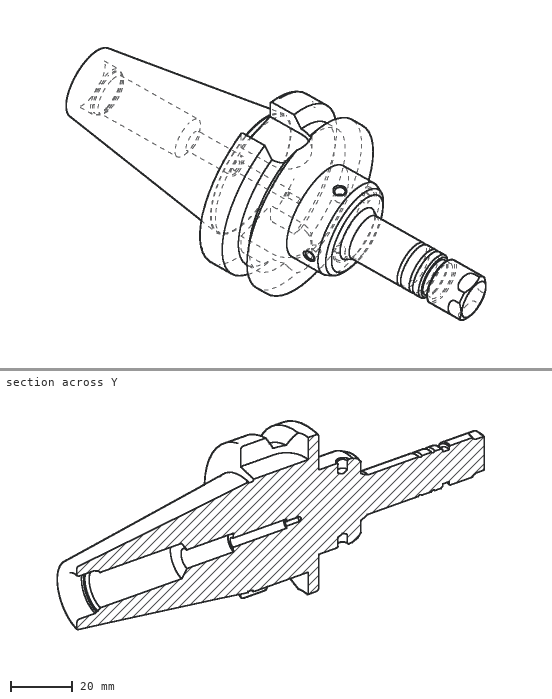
import cadquery as cq
import math


total_length = 155.4
gauge_x = 65.4
flange_start_x = gauge_x + 2.0
flange_end_x = gauge_x + 27.0
collar_end_x = flange_end_x + 16.0

gauge_radius = 44.45 / 2
taper_slope = 7 / 48
small_end_radius = gauge_radius - gauge_x * taper_slope
small_end_rounding = 0.8
relief_radius = 21.8
relief_fillet = 0.7

flange_radius = 63.0 / 2
flange_edge_break = 1.2
groove_center_x = gauge_x + 16.6
groove_radius = 53.0 / 2
groove_floor_width = 4.2
groove_flank_angle = 30.0

slot_width = 16.1
slot_floor = 22.6
slot_end_x = 88.1

collar_radius = 17.0
collar_bevel_start_x = 105.0
collar_bevel_middle_x = 107.3
collar_bevel_middle_radius = 15.9
collar_face_radius = 14.2
radial_hole_x = flange_end_x + 9.0
radial_hole_count = 4
radial_hole_diameter = 3.5
radial_hole_rim_diameter = 4.5
radial_hole_depth = 4.0
drill_point_angle = 118.0

nose_radius = 16.0 / 2
nose_root_radius = 9.5
nose_root_end_x = 111.0
ring_groove_starts = (130.3, 135.2)
ring_groove_width = 1.4
ring_groove_depth = 0.4
neck_radius = 13.0 / 2
neck_start_x = 139.6
neck_end_x = 142.0
neck_left_bevel = 0.7
neck_right_bevel = 0.4
tip_chamfer_length = 0.8
tip_chamfer_depth = 1.4

flat_count = 4
flat_distance = 6.85
flat_start_x = 152.7
flat_runout_radius = 2.0

pilot_radius = 17.0 / 2
bore_mouth_rounding = 1.1
pilot_depth = 7.0
thread_mouth_radius = 16.0 / 2
thread_mouth_depth = 8.0
thread_radius = 14.0 / 2
thread_depth = 40.0
deep_radius = 7.3 / 2
deep_floor_bevel = 0.4
deep_depth = 60.0
inner_radius = 3.5 / 2
inner_depth = 80.0
end_hole_radius = 1.7 / 2
end_hole_depth = 85.0


def point_length(radius):
    """Length of a drill point of the given radius."""
    return radius / math.tan(math.radians(drill_point_angle / 2))


def revolve_about_x(profile):
    return profile.close().revolve(360, (0, 0, 0), (1, 0, 0))


def make_taper():
    profile = (
        cq.Workplane("XY")
        .lineTo(0, small_end_radius)
        .lineTo(gauge_x, gauge_radius)
        .lineTo(gauge_x, relief_radius)
        .lineTo(flange_start_x - relief_fillet, relief_radius)
        .radiusArc((flange_start_x, relief_radius + relief_fillet), -relief_fillet)
        .lineTo(flange_start_x, 0)
    )
    return revolve_about_x(profile).faces("<X").edges().fillet(small_end_rounding)


def make_flange():
    flank_length = (flange_radius - groove_radius) * math.tan(math.radians(groove_flank_angle))
    floor_half = groove_floor_width / 2
    mouth_half = floor_half + flank_length
    profile = (
        cq.Workplane("XY")
        .moveTo(flange_start_x, 0)
        .lineTo(flange_start_x, flange_radius - flange_edge_break)
        .radiusArc((flange_start_x + flange_edge_break, flange_radius), flange_edge_break)
        .lineTo(groove_center_x - mouth_half, flange_radius)
        .lineTo(groove_center_x - floor_half, groove_radius)
        .lineTo(groove_center_x + floor_half, groove_radius)
        .lineTo(groove_center_x + mouth_half, flange_radius)
        .lineTo(flange_end_x - flange_edge_break, flange_radius)
        .radiusArc((flange_end_x, flange_radius - flange_edge_break), flange_edge_break)
        .lineTo(flange_end_x, 0)
    )
    return revolve_about_x(profile)


def make_collar():
    profile = (
        cq.Workplane("XY")
        .moveTo(flange_end_x, 0)
        .lineTo(flange_end_x, collar_radius)
        .lineTo(collar_bevel_start_x, collar_radius)
        .lineTo(collar_bevel_middle_x, collar_bevel_middle_radius)
        .lineTo(collar_end_x, collar_face_radius)
        .lineTo(collar_end_x, 0)
    )
    return revolve_about_x(profile)


def make_nose():
    profile = (
        cq.Workplane("XY")
        .moveTo(collar_end_x, 0)
        .lineTo(collar_end_x, nose_root_radius)
        .lineTo(nose_root_end_x, nose_radius)
    )
    for start_x in ring_groove_starts:
        profile = (
            profile.lineTo(start_x, nose_radius)
            .threePointArc(
                (start_x + ring_groove_width / 2, nose_radius - ring_groove_depth),
                (start_x + ring_groove_width, nose_radius),
            )
        )
    profile = (
        profile.lineTo(neck_start_x - neck_left_bevel, nose_radius)
        .lineTo(neck_start_x, nose_radius - neck_left_bevel)
        .lineTo(neck_start_x, neck_radius)
        .lineTo(neck_end_x, neck_radius)
        .lineTo(neck_end_x, nose_radius - neck_right_bevel)
        .lineTo(neck_end_x + neck_right_bevel, nose_radius)
        .lineTo(total_length - tip_chamfer_length, nose_radius)
        .lineTo(total_length, nose_radius - tip_chamfer_depth)
        .lineTo(total_length, 0)
    )
    return revolve_about_x(profile)


def make_bore():
    deep_start_x = thread_depth + point_length(thread_radius - deep_radius)
    profile = (
        cq.Workplane("XY")
        .lineTo(0, pilot_radius + bore_mouth_rounding)
        .radiusArc((bore_mouth_rounding, pilot_radius), -bore_mouth_rounding)
        .lineTo(pilot_depth, pilot_radius)
        .lineTo(pilot_depth + pilot_radius - thread_mouth_radius, thread_mouth_radius)
        .lineTo(thread_mouth_depth, thread_mouth_radius)
        .lineTo(thread_mouth_depth + thread_mouth_radius - thread_radius, thread_radius)
        .lineTo(thread_depth, thread_radius)
        .lineTo(deep_start_x, deep_radius)
        .lineTo(deep_depth, deep_radius)
        .lineTo(deep_depth - deep_floor_bevel, deep_radius - deep_floor_bevel)
        .lineTo(deep_depth - deep_floor_bevel, inner_radius)
        .lineTo(inner_depth, inner_radius)
        .lineTo(inner_depth, end_hole_radius)
        .lineTo(end_hole_depth, end_hole_radius)
        .lineTo(end_hole_depth + point_length(end_hole_radius), 0)
    )
    return revolve_about_x(profile)


def make_drive_slots():
    """Round-ended slots through the flange rim at +Z and -Z."""
    end_center_x = slot_end_x - slot_width / 2
    slot_height = flange_radius - slot_floor
    slot_length = end_center_x - flange_start_x
    slot = (
        cq.Workplane("XY", origin=(0, 0, slot_floor))
        .moveTo(flange_start_x + slot_length / 2, 0)
        .rect(slot_length, slot_width)
        .extrude(slot_height)
    )
    round_end = (
        cq.Workplane("XY", origin=(end_center_x, 0, slot_floor))
        .circle(slot_width / 2)
        .extrude(slot_height)
    )
    slot = slot.union(round_end)
    return slot.union(slot.mirror("XY"))


def copies_about_x(cutter, count):
    copies = cutter
    for index in range(1, count):
        copies = copies.union(cutter.rotate((0, 0, 0), (1, 0, 0), index * 360 / count))
    return copies


def make_radial_holes():
    hole_radius = radial_hole_diameter / 2
    rim_radius = radial_hole_rim_diameter / 2
    rim_depth = rim_radius - hole_radius
    bottom_z = collar_radius - radial_hole_depth
    profile = (
        cq.Workplane("XZ", origin=(radial_hole_x, 0, 0))
        .moveTo(0, collar_radius)
        .lineTo(rim_radius, collar_radius)
        .lineTo(hole_radius, collar_radius - rim_depth)
        .lineTo(hole_radius, bottom_z)
        .lineTo(0, bottom_z - point_length(hole_radius))
    )
    hole = profile.close().revolve(360, (0, 0, 0), (0, 1, 0))
    return copies_about_x(hole, radial_hole_count)


def make_wrench_flats():
    """Flats with a concave run-out, open toward the tip."""
    arc_rise = nose_radius - flat_distance
    arc_run = math.sqrt(flat_runout_radius**2 - (flat_runout_radius - arc_rise) ** 2)
    profile = (
        cq.Workplane("XZ")
        .moveTo(total_length, flat_distance)
        .lineTo(flat_start_x, flat_distance)
        .radiusArc((flat_start_x - arc_run, nose_radius), flat_runout_radius)
        .lineTo(total_length, nose_radius)
        .close()
    )
    return copies_about_x(profile.extrude(nose_radius, both=True), flat_count)


body = make_taper().union(make_flange()).union(make_collar()).union(make_nose())
result = (
    body.cut(make_bore())
    .cut(make_drive_slots())
    .cut(make_radial_holes())
    .cut(make_wrench_flats())
)